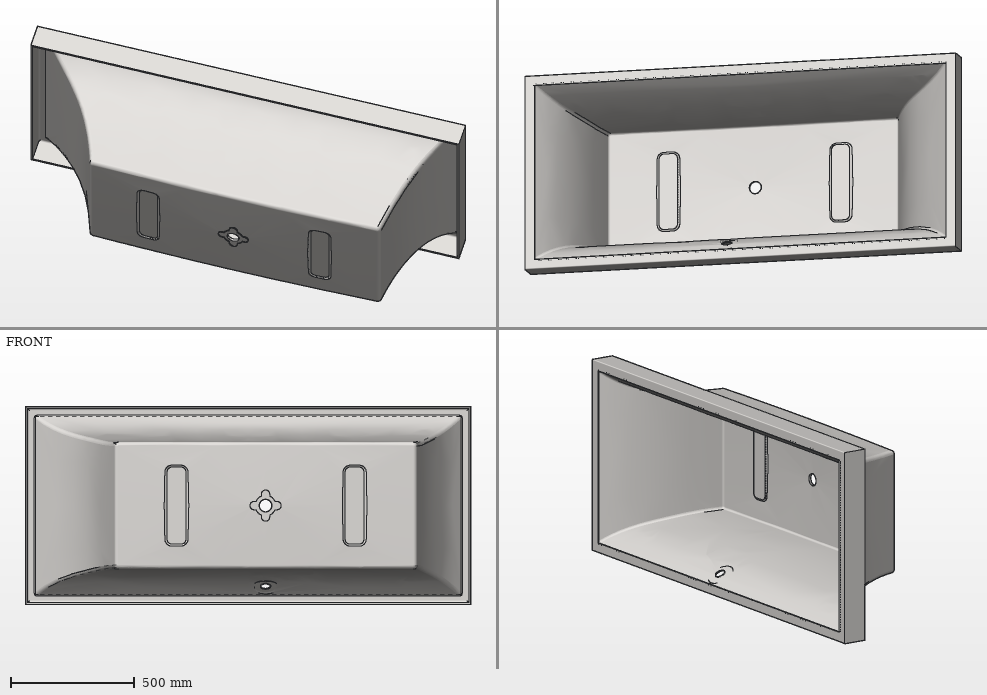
import cadquery as cq
import math


LENGTH = 1800.0
WIDTH = 800.0
OVERALL_DEPTH = 520.2
SKIRT_DEPTH = 100.0
SHEET = 5.0
WALL = 6.0
RIM_TOP_FILLET = 4.0
SKIRT_WALL = 8.0
SKIRT_ROOT_FILLET = 8.0
LIP = 34.5

DRAIN_X = 70.0
DRAIN_DIAMETER = 50.0
BOSS_HEIGHT = 4.0
BOSS_DISC_DIAMETER = 84.0
BOSS_SPAN = 126.0
BOSS_LOBE_WIDTH = 34.0

BOTTOM_Y = -(OVERALL_DEPTH - BOSS_HEIGHT)
END_CROWN = 1.0
END_RISE = 17.0
MID_CROWN = 9.0
BOWL_FILLET = 16.0
DOME_LENGTH = 1240.0
DOME_WIDTH = 520.0
DOME_BASE_Y = -2 * OVERALL_DEPTH

BOWL_FOOT_Y = BOTTOM_Y - 2 * SHEET
LEFT_END_CURVE = [
    (LIP - LENGTH / 2, -SHEET),
    (-770, -SKIRT_DEPTH),
    (-649, -249),
    (-598, -341),
    (-530, BOWL_FOOT_Y),
]
RIGHT_END_CURVE = [
    (LENGTH / 2 - LIP, -SHEET),
    (795, -SKIRT_DEPTH),
    (732, -249),
    (708, -341),
    (679, BOWL_FOOT_Y),
]
SIDE_CURVE = [
    (WIDTH / 2 - LIP, -SHEET),
    (309, -SKIRT_DEPTH),
    (274, -249),
    (262, -341),
    (258, BOWL_FOOT_Y),
]

PAD_OFFSET = 360.0
PAD_WIDTH = 100.0
PAD_LENGTH = 336.0
PAD_CORNER = 32.0
PAD_BORDER = 12.0
PAD_DEPTH = 7.0

OVERFLOW_Y = -60.0
OVERFLOW_Z = -330.0
OVERFLOW_SLOPE = 30.0
OVERFLOW_DIAMETER = 42.0
OVERFLOW_RECESS = 108.0
OVERFLOW_RECESS_FLOOR = 90.0
OVERFLOW_RECESS_DEPTH = 2.5


def plane_facing_down(x, y, z):
    """Plane at a point with its normal along -Y and its local axes along X and Z."""
    return cq.Plane(origin=(x, y, z), xDir=(1, 0, 0), normal=(0, -1, 0))


def moved_inward(curve, inset):
    """Wall curve shifted towards the middle of the bowl."""
    sign = 1 if curve[0][0] > 0 else -1
    return [(out - sign * inset, y) for out, y in curve]


def profile_between(workplane, low_curve, high_curve):
    """Closed outline between two wall curves, with its flat top at Y = 0."""
    low_top = (low_curve[0][0], 0)
    high_top = (high_curve[0][0], 0)
    return (
        workplane.moveTo(*low_top)
        .lineTo(*low_curve[0])
        .spline(low_curve[1:], includeCurrent=True)
        .lineTo(*high_curve[-1])
        .spline(high_curve[-2::-1], includeCurrent=True)
        .lineTo(*high_top)
        .close()
    )


def below_bottom(lift):
    """Block under the domed bottom, lofted through three cross-sections along X."""
    half_length = DOME_LENGTH / 2
    half_width = DOME_WIDTH / 2
    sections = [
        (-half_length, BOTTOM_Y + END_RISE, END_CROWN),
        (0, BOTTOM_Y, MID_CROWN),
        (half_length, BOTTOM_Y + END_RISE, END_CROWN),
    ]
    wires = []
    for offset, apex_y, crown in sections:
        plane = cq.Plane(origin=(DRAIN_X + offset, lift, 0), xDir=(0, 0, 1), normal=(-1, 0, 0))
        outline = (
            cq.Workplane(plane)
            .moveTo(-half_width, apex_y + crown)
            .threePointArc((0, apex_y), (half_width, apex_y + crown))
            .lineTo(half_width, DOME_BASE_Y)
            .lineTo(-half_width, DOME_BASE_Y)
            .close()
        )
        wires.append(outline.val())
    return cq.Workplane(cq.Solid.makeLoft(wires))


def bowl(inset, fillet):
    """Solid bowl, with its walls moved inward and its bottom raised by the inset."""
    left = moved_inward(LEFT_END_CURVE, inset)
    right = moved_inward(RIGHT_END_CURVE, inset)
    upper = moved_inward(SIDE_CURVE, inset)
    lower = [(-out, y) for out, y in upper]
    lengthwise = profile_between(
        cq.Workplane("XY", origin=(0, 0, -WIDTH / 2)), left, right
    ).extrude(WIDTH)
    side_plane = cq.Plane(origin=(LENGTH / 2, 0, 0), xDir=(0, 0, 1), normal=(-1, 0, 0))
    crosswise = profile_between(cq.Workplane(side_plane), lower, upper).extrude(LENGTH)
    solid = lengthwise.intersect(crosswise).cut(below_bottom(inset))
    bottom_edges = solid.faces("<Y").edges()
    below_rim = cq.selectors.BoxSelector((-LENGTH, BOWL_FOOT_Y, -WIDTH), (LENGTH, -2 * SHEET, WIDTH))
    corner_edges = solid.edges(below_rim).edges("not(#Y or |Z or |X)")
    return solid.newObject(bottom_edges.vals() + corner_edges.vals()).fillet(fillet)


def foot_pad(side, lift):
    """Tapered block under the bottom, tilted with the dome, whose top is the pad floor."""
    tilt = side * 2 * END_RISE * PAD_OFFSET / (DOME_LENGTH / 2) ** 2
    surface_y = BOTTOM_Y + END_RISE * (2 * PAD_OFFSET / DOME_LENGTH) ** 2
    plane = cq.Plane(
        origin=(DRAIN_X + side * PAD_OFFSET, surface_y + PAD_DEPTH + lift, 0),
        xDir=(1, tilt, 0),
        normal=(tilt, -1, 0),
    )
    border_angle = math.degrees(math.atan2(PAD_BORDER, PAD_DEPTH))
    outline = (
        cq.Sketch()
        .rect(PAD_WIDTH - 2 * PAD_BORDER, PAD_LENGTH - 2 * PAD_BORDER)
        .vertices()
        .fillet(PAD_CORNER - PAD_BORDER)
    )
    return cq.Workplane(plane).placeSketch(outline).extrude(2 * PAD_DEPTH, taper=-border_angle)


def rim():
    """Rim plate with its skirt, open underneath."""
    block = (
        cq.Workplane(plane_facing_down(0, 0, 0))
        .rect(LENGTH, WIDTH)
        .extrude(SKIRT_DEPTH)
        .faces(">Y")
        .edges("|X")
        .fillet(RIM_TOP_FILLET)
    )
    hollow = (
        cq.Workplane(plane_facing_down(0, -SHEET, 0))
        .rect(LENGTH - 2 * SKIRT_WALL, WIDTH - 2 * SKIRT_WALL)
        .extrude(SKIRT_DEPTH)
        .faces(">Y")
        .edges()
        .fillet(SKIRT_ROOT_FILLET)
    )
    return block.cut(hollow)


def drain_boss():
    """Disc with four rounded lobes under the bottom."""
    plane = plane_facing_down(DRAIN_X, BOTTOM_Y - BOSS_HEIGHT, 0)
    sketch = (
        cq.Sketch()
        .circle(BOSS_DISC_DIAMETER / 2)
        .slot(BOSS_SPAN - BOSS_LOBE_WIDTH, BOSS_LOBE_WIDTH)
        .slot(BOSS_SPAN - BOSS_LOBE_WIDTH, BOSS_LOBE_WIDTH, angle=90)
    )
    return cq.Workplane(plane).placeSketch(sketch).extrude(-(BOSS_HEIGHT + WALL))


def drain_hole():
    """Hole through the bottom and the boss."""
    plane = plane_facing_down(DRAIN_X, BOTTOM_Y + 2 * SHEET, 0)
    return cq.Workplane(plane).circle(DRAIN_DIAMETER / 2).extrude(4 * SHEET)


def overflow():
    """Hole and dished recess, square to the -Z wall, with a lid that clears the wall above the recess."""
    slope = math.radians(OVERFLOW_SLOPE)
    outward = cq.Vector(0, -math.sin(slope), -math.cos(slope))
    plane = cq.Plane(origin=(DRAIN_X, OVERFLOW_Y, OVERFLOW_Z), xDir=(1, 0, 0), normal=outward)
    hole = (
        cq.Workplane(plane)
        .circle(OVERFLOW_DIAMETER / 2)
        .extrude(4 * SHEET, both=True)
    )
    recess = (
        cq.Workplane(plane)
        .workplane(offset=-OVERFLOW_RECESS_DEPTH)
        .circle(OVERFLOW_RECESS_FLOOR / 2)
        .workplane(offset=OVERFLOW_RECESS_DEPTH)
        .circle(OVERFLOW_RECESS / 2)
        .loft()
    )
    lid = cq.Workplane(plane).circle(OVERFLOW_RECESS / 2).extrude(SHEET)
    return hole.union(recess).union(lid)


outer_bowl = bowl(0, BOWL_FILLET)
inner_bowl = bowl(WALL, BOWL_FILLET - WALL)
for side in (-1, 1):
    outer_bowl = outer_bowl.cut(foot_pad(side, 0))
    inner_bowl = inner_bowl.cut(foot_pad(side, WALL))

result = (
    rim()
    .union(outer_bowl)
    .cut(inner_bowl)
    .union(drain_boss())
    .cut(drain_hole())
    .cut(overflow())
)